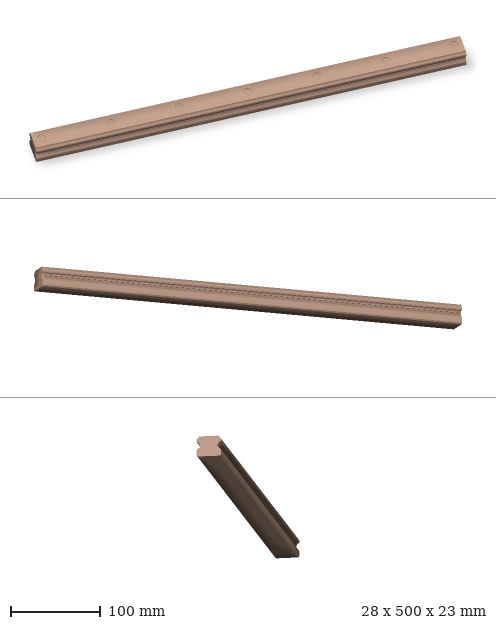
import cadquery as cq

length = 500.0
width = 28.0
height = 23.0
half_width = width / 2

bottom_chamfer = 1.5
foot_side_top = 6.0
foot_bevel_width = 0.25
foot_bevel_height = 1.25
shoulder_top = 10.0

waist_half_width = 11.0
groove_half_width = 10.0
groove_bottom = 10.5
groove_top = 13.5

nose_bottom = 17.5
nose_top = 19.0
lower_bevel_width = 0.75
lower_bevel_height = 1.5
upper_bevel_width = 0.5
upper_bevel_height = 1.0

top_half_width = 11.0
lower_raceway_bottom = 15.0
raceway_sag = 0.5

recess_count = 7
recess_pitch = 80.0
recess_diameter = 11.0
recess_depth = 0.5


def add_raceway(profile, start, end):
    """Add an arc from start to end that bows into the rail, towards its centre plane."""
    profile = profile.lineTo(*start)
    return profile.sagittaArc(end, raceway_sag)


def make_rail():
    """Half section extruded along Y and mirrored, centred in X and Y and standing on Z = 0."""
    lower_raceway_start = (waist_half_width, lower_raceway_bottom)
    lower_raceway_end = (half_width - lower_bevel_width, nose_bottom - lower_bevel_height)
    upper_raceway_start = (half_width - upper_bevel_width, nose_top + upper_bevel_height)
    upper_raceway_end = (top_half_width, height)

    profile = (
        cq.Workplane("XZ")
        .lineTo(half_width - bottom_chamfer, 0)
        .lineTo(half_width, bottom_chamfer)
        .lineTo(half_width, foot_side_top)
        .lineTo(half_width - foot_bevel_width, foot_side_top + foot_bevel_height)
        .lineTo(waist_half_width, shoulder_top)
        .lineTo(waist_half_width, groove_bottom)
        .lineTo(groove_half_width, groove_bottom)
        .lineTo(groove_half_width, groove_top)
        .lineTo(waist_half_width, groove_top)
    )
    profile = add_raceway(profile, lower_raceway_start, lower_raceway_end)
    profile = profile.lineTo(half_width, nose_bottom).lineTo(half_width, nose_top)
    profile = add_raceway(profile, upper_raceway_start, upper_raceway_end)
    half_rail = profile.lineTo(0, height).close().extrude(length / 2, both=True)
    return half_rail.union(half_rail.mirror("YZ")).clean()


def make_recesses():
    """Evenly spaced discs that sink the recesses into the top face."""
    return (
        cq.Workplane("XY", origin=(0, 0, height - recess_depth))
        .rarray(5, recess_pitch, 1, recess_count)
        .circle(recess_diameter / 2)
        .extrude(recess_depth)
    )


result = make_rail().cut(make_recesses())